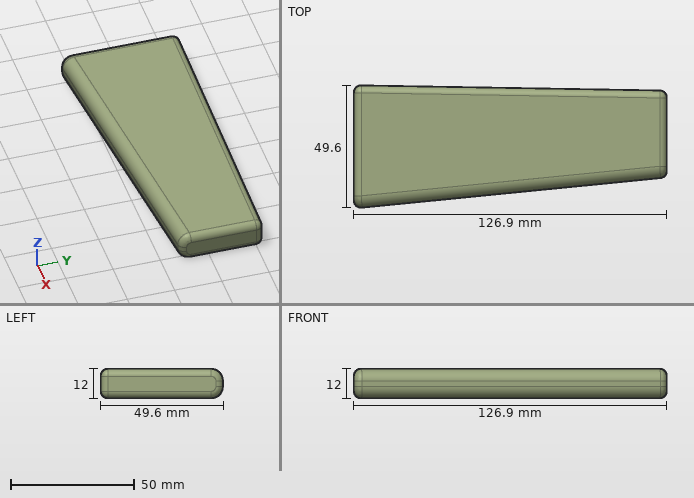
import cadquery as cq

length = 126.9
thickness = 12.0
wide_end_width = 50.0
back_taper = 2.2
front_taper = 12.5

front_edge_radius = 5.0
edge_radius = 6.0 / 2


def tapered_blank():
    """Sharp-edged plate with its wide end at X = 0."""
    outline = [
        (0, 0),
        (length, front_taper),
        (length, wide_end_width - back_taper),
        (0, wide_end_width),
    ]
    return cq.Workplane("XY").polyline(outline).close().extrude(thickness)


def round_front_edges(body):
    """Give the two long edges of the front side their larger radius."""
    return body.faces("<Y").edges("not |Z").fillet(front_edge_radius)


def round_remaining_edges(body):
    """Round both ends, the back edges and the corners."""
    end_edges = body.faces("<X or >X").edges()
    back_edges = body.faces(">Y").edges()
    return end_edges.add(back_edges).fillet(edge_radius)


result = round_remaining_edges(round_front_edges(tapered_blank()))